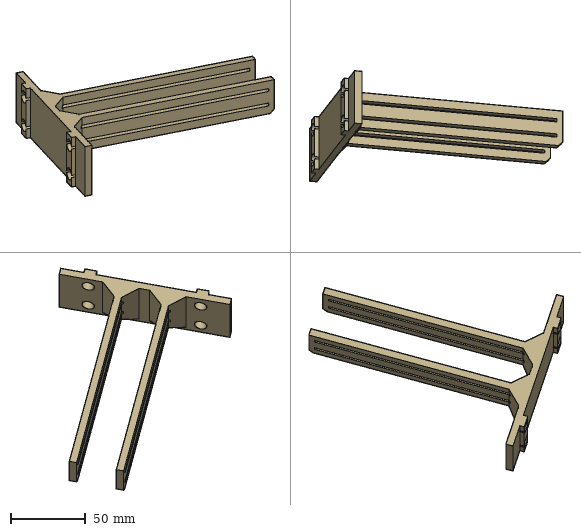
import cadquery as cq

plate_width = 117.0
plate_height = 37.5
plate_thickness = 5.0

rail_depth = 3.0
rail_width = 8.2
rail_offset = 38.5
hole_diameter = 8.4
hole_spacing = 21.5

overall_depth = 158
arm_offset = 16.1
arm_thickness = 5.0
arm_height = 25.0
arm_chamfer = 3.0
gusset_size = 10.0

slot_height = 2.2
slot_length = 137.3
slot_end_margin = 4.0
first_slot_depth = 7.0
slot_spacing = 10.9

plate_front = rail_depth
plate_back = plate_front + plate_thickness
gusset_tip = plate_back + gusset_size


def block(x_center, width, y_start, y_end, height):
    """Box hanging down from Z = 0."""
    depth = y_end - y_start
    return cq.Workplane("XY").box(width, depth, height, centered=(True, False, False)).translate(
        (x_center, y_start, -height)
    )


def arm(x_center):
    """Slender arm with its lower free corner chamfered."""
    bar = block(x_center, arm_thickness, plate_front, overall_depth, arm_height)
    return bar.faces(">Y").edges("<Z").chamfer(arm_chamfer)


def gusset(x_center):
    """Wedge that flares at 45 degrees to both sides and downward toward the plate."""
    half_tip = arm_thickness / 2
    half_root = half_tip + gusset_size
    flare = (
        cq.Workplane("XY")
        .polyline([
            (x_center - half_root, plate_back),
            (x_center + half_root, plate_back),
            (x_center + half_tip, gusset_tip),
            (x_center - half_tip, gusset_tip),
        ])
        .close()
        .extrude(-plate_height)
    )
    side_profile = (
        cq.Workplane("YZ")
        .polyline([
            (plate_back, 0),
            (gusset_tip, 0),
            (gusset_tip, -arm_height),
            (plate_back, -arm_height - gusset_size),
        ])
        .close()
        .extrude(plate_width / 2, both=True)
    )
    return flare.intersect(side_profile)


def arm_slot(depth_below_top):
    """Round-ended slot cutter that crosses both arms."""
    slot_center = overall_depth - slot_end_margin - slot_length / 2
    return (
        cq.Workplane("YZ", origin=(0, slot_center, -depth_below_top))
        .slot2D(slot_length, slot_height)
        .extrude(plate_width / 2, both=True)
    )


result = block(0, plate_width, plate_front, plate_back, plate_height)

for side in (-1, 1):
    result = result.union(block(side * rail_offset, rail_width, 0, plate_back, plate_height))
    result = result.union(arm(side * arm_offset))
    result = result.union(gusset(side * arm_offset))

for depth_below_top in (first_slot_depth, first_slot_depth + slot_spacing):
    result = result.cut(arm_slot(depth_below_top))

holes = (
    cq.Workplane("XZ", origin=(0, 0, -plate_height / 2))
    .rarray(2 * rail_offset, hole_spacing, 2, 2)
    .circle(hole_diameter / 2)
    .extrude(-plate_back)
)
result = result.cut(holes)